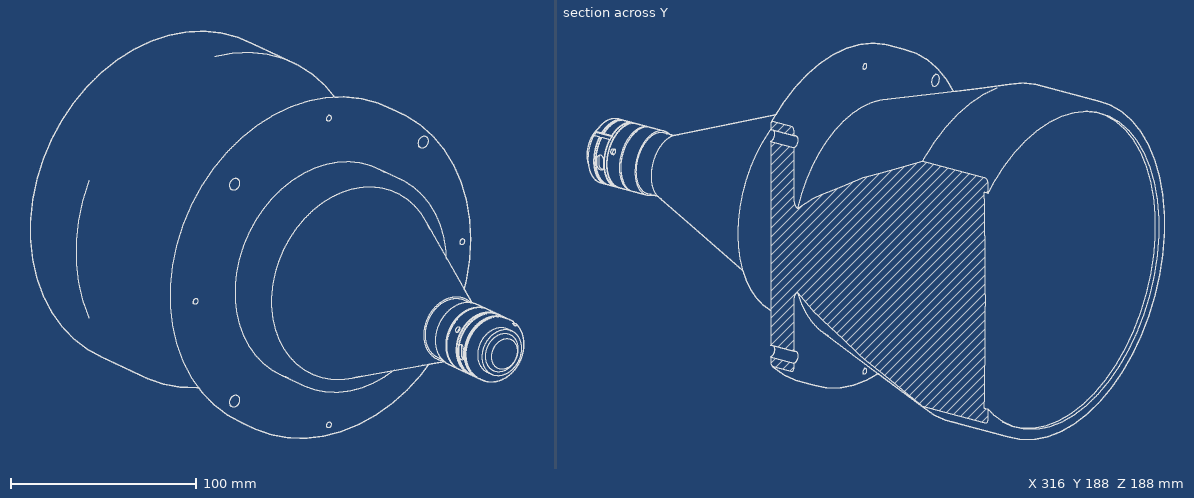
import cadquery as cq
import math


barrel_diameter = 188.0
barrel_radius = barrel_diameter / 2
barrel_end = 45.0
edge_round = 2.0
housing_end = 130.5
housing_end_radius = 66.5

flange_start = 133.0
flange_end = 149.0
flange_radius = barrel_radius
flange_fillet = flange_start - housing_end
hub_end = 172.8
hub_radius = 61.5

rear_cone_start_radius = 54.0
rear_cone_end = 265.5
rear_cone_end_radius = 18.0
neck_radius = 17.0

ring_radius = 18.0
ring_start = 276.5
ring_end = 309.3
ring_round = 1.3
tip_radius = 13.0
tip_end = 313.5
tip_cone_radius = 10.7
total_length = 316.0
tip_end_radius = 8.5

grooves = [
    (286.2, 1.0, 1.3),
    (296.0, 2.0, 0.47),
    (303.5, 1.3, 0.47),
]

glass_radius = 87.8
glass_edge_depth = 2.5
glass_center_depth = 1.0

bolt_circle_radius = 87.5
bolt_hole_diameter = 6.5
bolt_hole_first_angle = 45
pin_hole_diameter = 3.2
pin_hole_first_angle = 0
flange_hole_count = 4

screw_hole_station = 292.8
screw_hole_diameter = 3.2
screw_hole_depth = 2.0
screw_hole_first_angle = 25
screw_hole_count = 3

slot_station = 300.5
slot_width = 4.5
slot_length = 8.5
slot_depth = 2.0
slot_angles = (0, 180)

slit_start = 298.0
slit_width = 2.5
slit_depth = 1.3
slit_angle = 48


def turned_body():
    """Revolve the outer profile, in (station, radius) coordinates, about X."""
    profile = (
        cq.Workplane("XY")
        .moveTo(0, 0)
        .lineTo(0, barrel_radius - edge_round)
        .radiusArc((edge_round, barrel_radius), edge_round)
        .lineTo(barrel_end, barrel_radius)
        .lineTo(housing_end, housing_end_radius)
        .radiusArc((flange_start, housing_end_radius + flange_fillet), -flange_fillet)
        .lineTo(flange_start, flange_radius - edge_round)
        .radiusArc((flange_start + edge_round, flange_radius), edge_round)
        .lineTo(flange_end - edge_round, flange_radius)
        .radiusArc((flange_end, flange_radius - edge_round), edge_round)
        .lineTo(flange_end, hub_radius)
        .lineTo(hub_end - edge_round, hub_radius)
        .radiusArc((hub_end, hub_radius - edge_round), edge_round)
        .lineTo(hub_end, rear_cone_start_radius)
        .lineTo(rear_cone_end, rear_cone_end_radius)
        .lineTo(rear_cone_end, neck_radius)
        .lineTo(ring_start, neck_radius)
        .lineTo(ring_start, ring_radius)
        .lineTo(ring_end - ring_round, ring_radius)
        .radiusArc((ring_end, ring_radius - ring_round), ring_round)
        .lineTo(ring_end, tip_radius)
        .lineTo(tip_end, tip_radius)
        .lineTo(tip_end, tip_cone_radius)
        .lineTo(total_length, tip_end_radius)
        .lineTo(total_length, 0)
        .close()
    )
    return profile.revolve(360, (0, 0, 0), (1, 0, 0))


def ring_groove(start, width, depth):
    clearance = 3.2
    return (
        cq.Workplane("YZ", origin=(start, 0, 0))
        .circle(ring_radius + clearance)
        .circle(ring_radius - depth)
        .extrude(width)
    )


def glass_recess():
    """Material removed in front of the domed glass."""
    dome_rise = glass_edge_depth - glass_center_depth
    dome_radius = (glass_radius**2 + dome_rise**2) / (2 * dome_rise)
    return (
        cq.Workplane("XY")
        .lineTo(0, glass_radius)
        .lineTo(glass_edge_depth, glass_radius)
        .radiusArc((glass_center_depth, 0), -dome_radius)
        .close()
        .revolve(360, (0, 0, 0), (1, 0, 0))
    )


def flange_holes(diameter, first_angle):
    return (
        cq.Workplane("YZ", origin=(flange_start, 0, 0))
        .polarArray(bolt_circle_radius, first_angle, 360, flange_hole_count)
        .circle(diameter / 2)
        .extrude(flange_end - flange_start)
    )


def radial_plane(station, angle, depth):
    """Plane facing outward, sunk below the ring surface, with its local x along the part."""
    floor_radius = ring_radius - depth
    direction = (0, math.cos(math.radians(angle)), math.sin(math.radians(angle)))
    origin = (station, floor_radius * direction[1], floor_radius * direction[2])
    return cq.Workplane(cq.Plane(origin, (1, 0, 0), direction))


def screw_hole(angle):
    plane = radial_plane(screw_hole_station, angle, screw_hole_depth)
    return plane.circle(screw_hole_diameter / 2).extrude(2 * screw_hole_depth)


def ring_slot(angle):
    plane = radial_plane(slot_station, angle, slot_depth)
    return plane.slot2D(slot_length, slot_width, 90).extrude(2 * slot_depth)


def axial_slit():
    slit_length = ring_end - slit_start
    plane = radial_plane(slit_start + slit_length / 2, slit_angle, slit_depth)
    return plane.rect(slit_length, slit_width).extrude(2 * slit_depth)


result = turned_body().cut(glass_recess())

for groove in grooves:
    result = result.cut(ring_groove(*groove))

result = result.cut(flange_holes(bolt_hole_diameter, bolt_hole_first_angle))
result = result.cut(flange_holes(pin_hole_diameter, pin_hole_first_angle))

for index in range(screw_hole_count):
    result = result.cut(screw_hole(screw_hole_first_angle + index * 360 / screw_hole_count))

for slot_angle in slot_angles:
    result = result.cut(ring_slot(slot_angle))

result = result.cut(axial_slit())